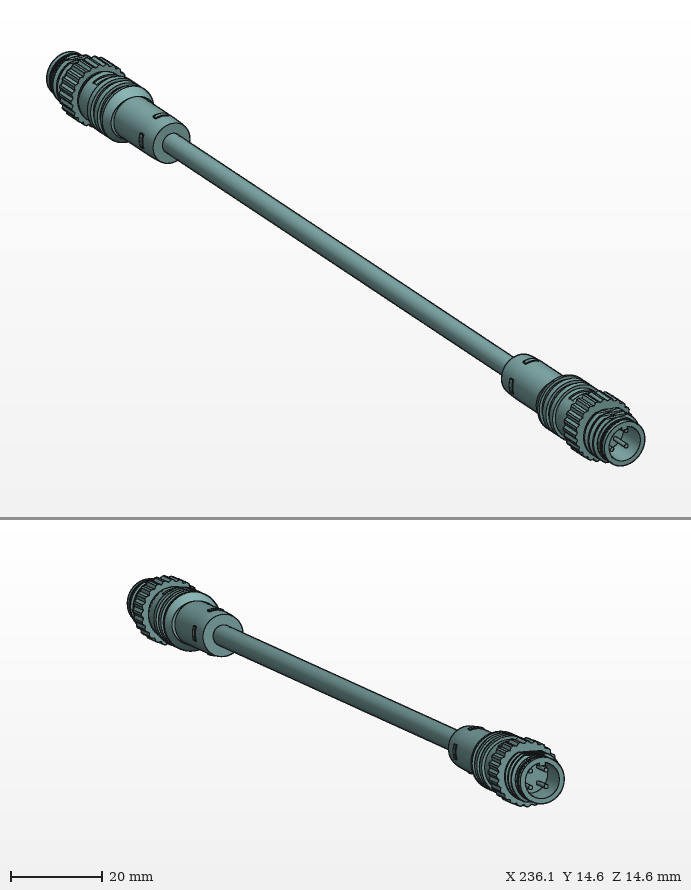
import cadquery as cq
import math


ASSEMBLY_LENGTH = 236.1

CABLE_RADIUS = 2.4

INSERT_RADIUS = 5.2
SEAL_GROOVE_START = 1.2
SEAL_GROOVE_END = 2.0
SEAL_GROOVE_DEPTH = 0.2
SOCKET_RADIUS = 4.0
SOCKET_DEPTH = 7.0
KEY_WIDTH = 1.5
KEY_HEIGHT = 0.7
PIN_COUNT = 4
FIRST_PIN_ANGLE = 45
PIN_RADIUS = 0.5
PIN_CIRCLE_RADIUS = 2.5
PIN_TIP_INSET = 2.4

CORE_RADIUS = 4.5
BODY_START = 14.6
BODY_RADIUS = 6.0
NECK_RADIUS = 5.7
RECESS_START = 16.5
RECESS_LENGTH = 1.7
RECESS_WIDTH = 6.5
RECESS_DEPTH = 0.35
RIB_RADIUS = 6.5
RIB_START = 19.5
RIB_PITCH = 2.8
RIB_WIDTH = 1.5
RIB_COUNT = 2
SHOULDER_START = RIB_START + RIB_COUNT * RIB_PITCH
SHOULDER_LAND = 0.7
SHOULDER_END = 28.0
SHOULDER_END_HALF_WIDTH = 5.7
RELIEF_RADIUS = 5.0
RELIEF_END = 44.5
RELIEF_END_RADIUS = 4.7
STUD_COUNT = 4
STUD_START = 39.2
STUD_LENGTH = 1.2
STUD_WIDTH = 3.3
STUD_OUTER_RADIUS = 5.2

NUT_START = 3.0
THREAD_RADIUS = 6.0
THREAD_ROOT_RADIUS = 5.0
THREAD_FLAT_HEIGHT = 5.2
THREAD_PITCH = 2.0
THREAD_CREST_WIDTH = 0.5
THREAD_FLANK_WIDTH = 0.35
THREAD_RIDGES = 3
KNURL_START = 8.7
KNURL_RADIUS = 7.3
KNURL_ROOT_RADIUS = 6.8
KNURL_TEETH = 24
KNURL_CREST_ANGLE = 4.0
NUT_END = 14.0


def revolved(profile):
    """Solid of revolution about the X axis from (x, radius) points."""
    return (
        cq.Workplane("XY")
        .polyline(profile)
        .close()
        .revolve(360, (0, 0, 0), (1, 0, 0))
    )


def cylinder(start, end, radius):
    return cq.Workplane("YZ", origin=(start, 0, 0)).circle(radius).extrude(end - start)


def box_between(x_range, y_range, z_range):
    sizes = [high - low for low, high in (x_range, y_range, z_range)]
    corner = (x_range[0], y_range[0], z_range[0])
    return cq.Workplane("XY").box(*sizes, centered=False).translate(corner)


def turned_housing():
    """Insert, core under the nut, ribbed grip and strain relief in one turned profile."""
    groove_radius = INSERT_RADIUS - SEAL_GROOVE_DEPTH
    profile = [
        (0, 0),
        (0, INSERT_RADIUS),
        (SEAL_GROOVE_START, INSERT_RADIUS),
        (SEAL_GROOVE_START, groove_radius),
        (SEAL_GROOVE_END, groove_radius),
        (SEAL_GROOVE_END, INSERT_RADIUS),
        (NUT_START, INSERT_RADIUS),
        (NUT_START, CORE_RADIUS),
        (NUT_END, CORE_RADIUS),
        (NUT_END, NECK_RADIUS),
        (BODY_START, NECK_RADIUS),
        (BODY_START, BODY_RADIUS),
    ]
    for index in range(RIB_COUNT):
        start = RIB_START + index * RIB_PITCH
        end = start + RIB_WIDTH
        profile += [(start, BODY_RADIUS), (start, RIB_RADIUS), (end, RIB_RADIUS), (end, BODY_RADIUS)]
    profile += [
        (SHOULDER_START, BODY_RADIUS),
        (SHOULDER_START, RIB_RADIUS),
        (SHOULDER_START + SHOULDER_LAND, RIB_RADIUS),
        (SHOULDER_START + SHOULDER_LAND, RELIEF_RADIUS),
        (RELIEF_END, RELIEF_RADIUS),
        (RELIEF_END, 0),
    ]
    return revolved(profile)


def relief_end_waste():
    """Ring cut away outside the gentle convex curve at the cable end of the strain relief."""
    start = STUD_START + STUD_LENGTH
    length = RELIEF_END - start
    drop = RELIEF_RADIUS - RELIEF_END_RADIUS
    arc_radius = (length**2 + drop**2) / (2 * drop)
    return (
        cq.Workplane("XY")
        .moveTo(start, RELIEF_RADIUS)
        .radiusArc((RELIEF_END, RELIEF_END_RADIUS), arc_radius)
        .lineTo(RELIEF_END, RELIEF_RADIUS)
        .close()
        .revolve(360, (0, 0, 0), (1, 0, 0))
    )


def marker_recess():
    """Shallow slot across the top of the body."""
    blank = box_between(
        (RECESS_START, RECESS_START + RECESS_LENGTH),
        (-RECESS_WIDTH / 2, RECESS_WIDTH / 2),
        (0, BODY_RADIUS),
    )
    floor = cylinder(RECESS_START, RECESS_START + RECESS_LENGTH, BODY_RADIUS - RECESS_DEPTH)
    return blank.cut(floor)


def shoulder_taper():
    """Taper from the round grip to an oval that is wider along Y than along Z."""
    start = SHOULDER_START + SHOULDER_LAND
    return (
        cq.Workplane("YZ", origin=(start, 0, 0))
        .circle(RIB_RADIUS)
        .workplane(offset=SHOULDER_END - start)
        .ellipse(SHOULDER_END_HALF_WIDTH, RELIEF_RADIUS)
        .loft()
    )


def contact_pins():
    """Contact pins standing on the socket floor, midway between the Y and Z axes."""
    return (
        cq.Workplane("YZ", origin=(PIN_TIP_INSET, 0, 0))
        .polarArray(PIN_CIRCLE_RADIUS, FIRST_PIN_ANGLE, 360, PIN_COUNT)
        .circle(PIN_RADIUS)
        .extrude(SOCKET_DEPTH - PIN_TIP_INSET)
    )


def coding_key():
    """Rib along the top of the socket wall."""
    return box_between(
        (0, SOCKET_DEPTH),
        (-KEY_WIDTH / 2, KEY_WIDTH / 2),
        (SOCKET_RADIUS - KEY_HEIGHT, (SOCKET_RADIUS + CORE_RADIUS) / 2),
    )


def relief_studs():
    """Low studs around the strain relief, on the Y and Z axes."""
    blank = box_between(
        (STUD_START, STUD_START + STUD_LENGTH),
        (-STUD_WIDTH / 2, STUD_WIDTH / 2),
        (CABLE_RADIUS, STUD_OUTER_RADIUS),
    )
    stud = blank.intersect(cylinder(STUD_START, STUD_START + STUD_LENGTH, STUD_OUTER_RADIUS))
    step = 360 / STUD_COUNT
    return [stud.rotate((0, 0, 0), (1, 0, 0), index * step) for index in range(STUD_COUNT)]


def make_housing():
    housing = turned_housing().union(shoulder_taper())
    housing = housing.cut(relief_end_waste()).cut(marker_recess())
    housing = housing.cut(cylinder(0, SOCKET_DEPTH, SOCKET_RADIUS))
    housing = housing.union(contact_pins()).union(coding_key())
    for stud in relief_studs():
        housing = housing.union(stud)
    return housing


def nut_thread():
    """Ring-shaped thread ridges, cut flat above and below."""
    profile = [(NUT_START, 0)]
    for index in range(THREAD_RIDGES):
        ridge_start = NUT_START + index * THREAD_PITCH
        crest_start = ridge_start + THREAD_FLANK_WIDTH
        crest_end = crest_start + THREAD_CREST_WIDTH
        profile += [
            (ridge_start, THREAD_ROOT_RADIUS),
            (crest_start, THREAD_RADIUS),
            (crest_end, THREAD_RADIUS),
            (crest_end + THREAD_FLANK_WIDTH, THREAD_ROOT_RADIUS),
        ]
    profile += [(KNURL_START, THREAD_ROOT_RADIUS), (KNURL_START, 0)]
    between_flats = box_between(
        (NUT_START, KNURL_START),
        (-THREAD_RADIUS, THREAD_RADIUS),
        (-THREAD_FLAT_HEIGHT, THREAD_FLAT_HEIGHT),
    )
    return revolved(profile).intersect(between_flats)


def polar_point(radius, degrees):
    angle = math.radians(degrees)
    return (radius * math.cos(angle), radius * math.sin(angle))


def nut_knurl():
    """Straight teeth around the nut, with narrow flat crests and V-shaped grooves between them."""
    outline = []
    for index in range(KNURL_TEETH):
        crest_angle = index * 360 / KNURL_TEETH
        root_angle = crest_angle + 180 / KNURL_TEETH
        outline += [
            polar_point(KNURL_RADIUS, crest_angle - KNURL_CREST_ANGLE / 2),
            polar_point(KNURL_RADIUS, crest_angle + KNURL_CREST_ANGLE / 2),
            polar_point(KNURL_ROOT_RADIUS, root_angle),
        ]
    return (
        cq.Workplane("YZ", origin=(KNURL_START, 0, 0))
        .polyline(outline)
        .close()
        .extrude(NUT_END - KNURL_START)
    )


def make_nut():
    nut = nut_thread().union(nut_knurl())
    return nut.cut(cylinder(NUT_START, NUT_END, CORE_RADIUS))


def make_cable():
    half_length = ASSEMBLY_LENGTH / 2 - RELIEF_END
    return cylinder(-half_length, half_length, CABLE_RADIUS)


def at_both_ends(part):
    """One copy at the -X end and its mirror image at the +X end."""
    left = part.translate((-ASSEMBLY_LENGTH / 2, 0, 0))
    return [left.val(), left.mirror("YZ").val()]


cable = make_cable()
housings = at_both_ends(make_housing())
nuts = at_both_ends(make_nut())

result = cq.Compound.makeCompound([cable.val(), *housings, *nuts])